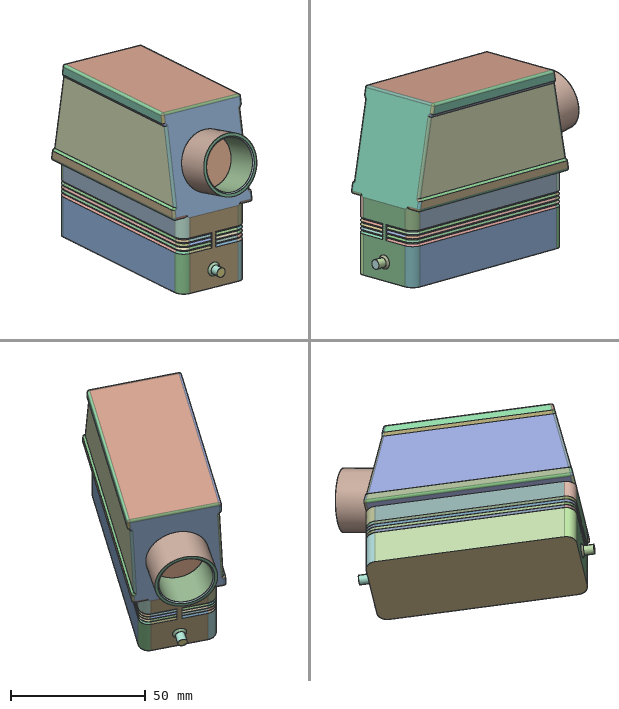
import cadquery as cq
import math

total_length = 96.8
total_height = 70.5

body_length = 79.4
body_width = 29.8
body_corner_radius = 4.0

hood_width = 36.0
hood_bottom = 30.1
hood_end_angle = 10.9
recess_depth = 0.9
recess_top_flank = 1.2
recess_bottom_flank = 0.9
top_rim_height = 4.1
bottom_rim_height = 4.1
hood_edge_radius = 1.0

groove_count = 4
groove_pitch = 1.55
grooves_bottom = 15.9
groove_gap = 1.9

pin_span = 88.7
pin_diameter = 3.7
pin_height = 7.4
pin_collar_length = 0.9

tube_diameter = 24.0
tube_bore_diameter = 20.7
tube_mouth_chamfer = 0.5
tube_end_height = 51.9

slope_sin = math.sin(math.radians(hood_end_angle))
slope_cos = math.cos(math.radians(hood_end_angle))
slope_tan = slope_sin / slope_cos


def rounded_block(inset, bottom, height, taper=0):
    """Upright block following the body outline, inset from it all round."""
    outline = cq.Sketch().rect(body_length - 2 * inset, body_width - 2 * inset)
    outline = outline.vertices().fillet(body_corner_radius - inset)
    return cq.Workplane(origin=(0, 0, bottom)).placeSketch(outline).extrude(height, taper=taper)


def hood_end_x(z):
    """Distance of the sloped hood end from the middle of the part at height z."""
    return body_length / 2 - (z - hood_bottom) * slope_tan


def sloped_envelope():
    """Trapezoid between the two sloped ends, as wide as the hood."""
    bottom_x = hood_end_x(hood_bottom)
    top_x = hood_end_x(total_height)
    return (
        cq.Workplane("XZ")
        .polyline([
            (-bottom_x, hood_bottom),
            (bottom_x, hood_bottom),
            (top_x, total_height),
            (-top_x, total_height),
        ])
        .close()
        .extrude(hood_width / 2, both=True)
    )


def side_recess(side):
    """Recess between the rims on one side of the hood, with sloping flanks."""
    outer_y = side * hood_width / 2
    inner_y = side * (hood_width / 2 - recess_depth)
    low = hood_bottom + bottom_rim_height
    high = total_height - top_rim_height
    return (
        cq.Workplane("YZ")
        .polyline([
            (outer_y, low),
            (inner_y, low + recess_bottom_flank),
            (inner_y, high - recess_top_flank),
            (outer_y, high),
        ])
        .close()
        .extrude(body_length, both=True)
    )


def make_hood():
    """Solid hood with rounded edges around its ends and along its top and bottom."""
    hood = sloped_envelope()
    for side in (-1, 1):
        hood = hood.cut(side_recess(side))
    end_edges = hood.faces("<X or >X").edges()
    long_edges = hood.faces("<Z or >Z").edges("|X")
    return end_edges.add(long_edges).fillet(hood_edge_radius)


def make_body():
    """Body block running up into the hood, where the sloped ends trim it."""
    lower = rounded_block(0, 0, hood_bottom)
    upper = rounded_block(0, hood_bottom, 2 * hood_edge_radius).intersect(sloped_envelope())
    return lower.union(upper)


def groove_ring(bottom):
    """V groove with 45 degree sides around the body outline."""
    depth = groove_pitch / 2
    middle = bottom + depth
    ring = rounded_block(0, bottom, groove_pitch)
    ring = ring.cut(rounded_block(depth, middle, depth, taper=-45))
    return ring.cut(rounded_block(depth, middle, -depth, taper=-45))


def make_pin(side):
    """Locking pin with a conical collar on one end face of the body."""
    end_x = side * body_length / 2
    pin_radius = pin_diameter / 2
    pin_length = (pin_span - body_length) / 2
    base = cq.Workplane("YZ", origin=(end_x, 0, pin_height))
    pin = base.circle(pin_radius).extrude(side * pin_length)
    collar = base.circle(pin_radius + pin_collar_length).extrude(side * pin_collar_length, taper=45)
    return pin.union(collar)


def make_grooves():
    """All groove rings, leaving a plain strip down the middle of each end face."""
    rings = groove_ring(grooves_bottom)
    for index in range(1, groove_count):
        rings = rings.union(groove_ring(grooves_bottom + index * groove_pitch))
    plain_strip = cq.Workplane().box(total_length, groove_gap, 2 * total_height)
    return rings.cut(plain_strip)


tube_tip_x = total_length - pin_span / 2
tube_end_x = tube_tip_x - tube_diameter / 2 * slope_sin
tube_length = (tube_end_x - hood_end_x(tube_end_height)) * slope_cos
tube_end_plane = cq.Plane(
    origin=(tube_end_x, 0, tube_end_height),
    xDir=(0, 1, 0),
    normal=(slope_cos, 0, slope_sin),
)


def make_tube():
    """Tube bored down to the hood end, with a chamfered mouth."""
    base = cq.Workplane(tube_end_plane)
    tube = base.circle(tube_diameter / 2).circle(tube_bore_diameter / 2).extrude(-tube_length)
    mouth_radius = tube_bore_diameter / 2 + tube_mouth_chamfer
    return tube.cut(base.circle(mouth_radius).extrude(-tube_mouth_chamfer, taper=45))


result = make_body().cut(make_grooves()).union(make_hood()).union(make_tube())
for end in (-1, 1):
    result = result.union(make_pin(end))